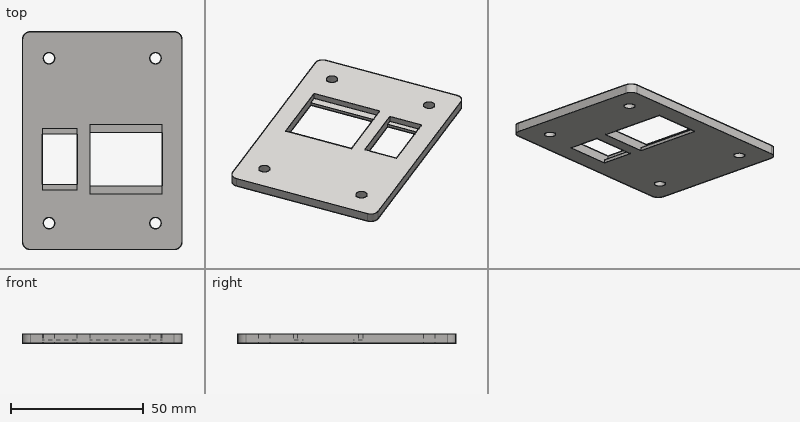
import cadquery as cq

width = 60.0
length = 82.0
thickness = 3.5
corner_radius = 3.0

hole_diameter = 4.2
hole_spacing_x = 40.0
hole_spacing_y = 62.0

window_center_y = -7.0
lip_thickness = 1.2

small_center_x = -16.0
small_width = 13.0
small_recess_length = 23.0
small_opening_length = 18.9

large_center_x = 8.9
large_width = 27.1
large_recess_length = 26.1
large_opening_length = 20.0


def window_cutter(center_x, window_width, recess_length, opening_length):
    """Through opening with a wider recess on top, leaving a lip at each Y end."""
    center = (center_x, window_center_y)
    opening = (
        cq.Workplane("XY")
        .center(*center)
        .rect(window_width, opening_length)
        .extrude(thickness)
    )
    recess = (
        cq.Workplane("XY", origin=(0, 0, lip_thickness))
        .center(*center)
        .rect(window_width, recess_length)
        .extrude(thickness - lip_thickness)
    )
    return opening.union(recess)


plate = (
    cq.Workplane("XY")
    .rect(width, length)
    .extrude(thickness)
    .edges("|Z")
    .fillet(corner_radius)
)

plate = (
    plate.faces(">Z")
    .workplane(origin=(0, 0, thickness))
    .rect(hole_spacing_x, hole_spacing_y, forConstruction=True)
    .vertices()
    .hole(hole_diameter)
)

small_window = window_cutter(small_center_x, small_width, small_recess_length, small_opening_length)
large_window = window_cutter(large_center_x, large_width, large_recess_length, large_opening_length)

result = plate.cut(small_window).cut(large_window)